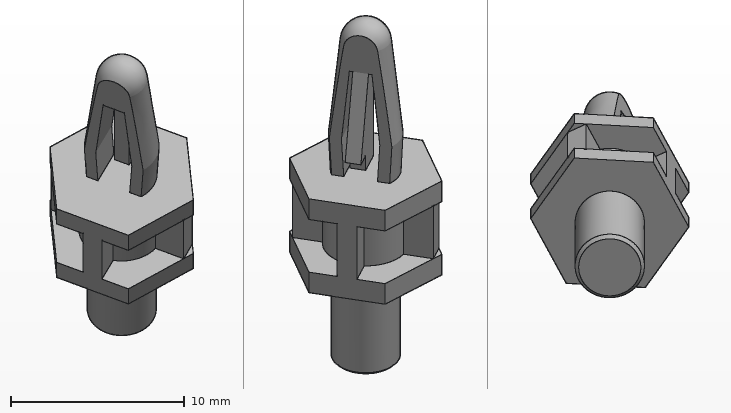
import cadquery as cq
import math

total_height = 23.0
pin_length = 6.4
body_height = 6.4
body_top = pin_length + body_height

pin_diameter = 4.0
pin_chamfer = 0.2

hex_across_flats = 7.91
hex_across_corners = hex_across_flats / math.cos(math.pi / 6)
flange_thickness = 1.4
core_diameter = 5.01
rib_thickness = 1.2
rib_span_x = hex_across_corners - rib_thickness * math.tan(math.pi / 6)

post_thickness = 2.16
half_thickness = post_thickness / 2
dome_radius = 1.5
dome_center_z = total_height - dome_radius
widest_z = 15.3
widest_radius = 2.16
post_base_radius = 2.05

slot_top_z = 20.0
slot_top_half_width = 0.678
slot_widest_half_width = 1.15
slot_base_half_width = 1.01

tongue_width = 0.95
tongue_thickness = 1.68
tongue_outer_y = 1.68
tongue_inner_y = tongue_outer_y - tongue_thickness
tongue_bottom_z = 13.82
tongue_root_radius = 1.0
barb_tip_y = 2.7
barb_step_z = 14.81


def make_pin():
    pin = cq.Workplane("XY").circle(pin_diameter / 2).extrude(pin_length)
    return pin.faces("<Z").chamfer(pin_chamfer)


def make_flange(bottom_z):
    base = cq.Workplane("XY").workplane(offset=bottom_z)
    return base.polygon(6, hex_across_corners).extrude(flange_thickness)


def make_body():
    center_z = pin_length + body_height / 2
    upright = cq.Workplane("XY").workplane(offset=pin_length)
    body = upright.circle(core_diameter / 2).extrude(body_height)
    for size_x, size_y in ((rib_span_x, rib_thickness), (rib_thickness, hex_across_flats)):
        rib = cq.Workplane("XY").box(size_x, size_y, body_height)
        body = body.union(rib.translate((0, 0, center_z)))
    for bottom_z in (pin_length, body_top - flange_thickness):
        body = body.union(make_flange(bottom_z))
    return body


def make_barrel():
    rise = dome_center_z - widest_z
    distance = math.hypot(rise, widest_radius)
    tangent_angle = math.atan2(-rise, widest_radius) + math.acos(dome_radius / distance)

    def dome_point(angle):
        return (dome_radius * math.cos(angle), dome_center_z + dome_radius * math.sin(angle))

    middle_angle = (tangent_angle + math.pi / 2) / 2
    profile = (
        cq.Workplane("XZ")
        .moveTo(0, body_top)
        .lineTo(post_base_radius, body_top)
        .lineTo(widest_radius, widest_z)
        .lineTo(*dome_point(tangent_angle))
        .threePointArc(dome_point(middle_angle), (0, total_height))
        .close()
    )
    barrel = profile.revolve(360, (0, 0, 0), (0, 1, 0))
    flats = cq.Workplane("XY").box(2 * widest_radius, post_thickness, 2 * total_height)
    return barrel.intersect(flats)


def make_slot():
    right_side = [
        (slot_base_half_width, body_top),
        (slot_widest_half_width, widest_z),
        (slot_top_half_width, slot_top_z),
    ]
    left_side = [(-x, z) for x, z in reversed(right_side)]
    outline = cq.Workplane("XZ").polyline(right_side + left_side).close()
    return outline.extrude(half_thickness, both=True)


def make_tongue():
    root_y = tongue_inner_y - tongue_root_radius
    root_z = slot_top_z - tongue_root_radius
    arc_middle = tongue_root_radius * math.sqrt(0.5)
    outline = (
        cq.Workplane("YZ")
        .moveTo(root_y, slot_top_z)
        .lineTo(half_thickness, slot_top_z)
        .lineTo(barb_tip_y, barb_step_z)
        .lineTo(tongue_outer_y, barb_step_z)
        .lineTo(tongue_outer_y, tongue_bottom_z)
        .lineTo(tongue_inner_y, tongue_bottom_z)
        .lineTo(tongue_inner_y, root_z)
        .threePointArc((root_y + arc_middle, root_z + arc_middle), (root_y, slot_top_z))
        .close()
    )
    return outline.extrude(tongue_width / 2, both=True)


snap_post = make_barrel().cut(make_slot()).union(make_tongue())
result = make_pin().union(make_body()).union(snap_post)